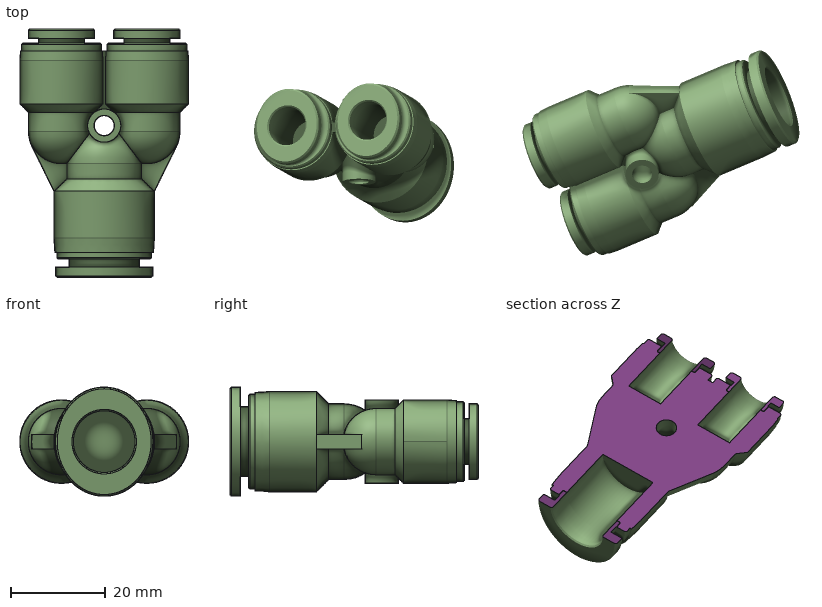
import cadquery as cq
import math


LARGE_PORT = dict(
    dome_centre_at=8.0,
    cone_at=11.2,
    taper_at=23.65,
    lip_at=26.7,
    lip_end_at=28.1,
    flange_at=29.8,
    mouth_at=32.0,
    neck_diameter=16.0,
    body_diameter=21.2,
    taper_end_diameter=20.8,
    lip_diameter=20.0,
    collet_diameter=14.8,
    bore_diameter=13.0,
    flange_width=20.5,
    flange_height=23.0,
)
SMALL_PORT = dict(
    dome_centre_at=-1.2,
    cone_at=2.8,
    taper_at=13.75,
    lip_at=15.75,
    lip_end_at=17.4,
    flange_at=18.4,
    mouth_at=20.4,
    neck_diameter=14.0,
    body_diameter=17.6,
    taper_end_diameter=17.3,
    lip_diameter=16.9,
    collet_diameter=9.7,
    bore_diameter=8.2,
    flange_width=14.0,
    flange_height=16.0,
)
small_port_spacing = 18.0
small_port_sides = (-1, 1)

lip_chamfer = 0.3
flange_chamfer = 0.35
mouth_chamfer = 0.3

boss_diameter = 7.0
boss_hole_diameter = 4.2
boss_height = SMALL_PORT["body_diameter"]

rib_thickness = 3.1
web_thickness = 2.0

small_port_x = small_port_spacing / 2


def body_start(port):
    """Distance at which the 45 degree cone reaches the full body diameter."""
    return port["cone_at"] + (port["body_diameter"] - port["neck_diameter"]) / 2


def place_large(shape):
    """Turn a port part that points to +Y so that it points to -Y."""
    return shape.rotate((0, 0, 0), (0, 0, 1), 180)


def place_small(shape, side):
    """Move a port part onto the axis of the small port on the given side."""
    return shape.translate((side * small_port_x, 0, 0))


def cylinder_along_y(diameter, start, end):
    return cq.Workplane("XZ", origin=(0, start, 0)).circle(diameter / 2).extrude(start - end)



def port_shell(port):
    """Outside of a port: dome, neck, cone, body, slight taper and stepped lip, along +Y."""
    neck_radius = port["neck_diameter"] / 2
    body_radius = port["body_diameter"] / 2
    lip_radius = port["lip_diameter"] / 2
    dome_centre = port["dome_centre_at"]
    dome_mid = neck_radius * math.sqrt(0.5)
    profile = (
        cq.Workplane("XY")
        .moveTo(0, dome_centre - neck_radius)
        .threePointArc((dome_mid, dome_centre - dome_mid), (neck_radius, dome_centre))
        .lineTo(neck_radius, port["cone_at"])
        .lineTo(body_radius, body_start(port))
        .lineTo(body_radius, port["taper_at"])
        .lineTo(port["taper_end_diameter"] / 2, port["lip_at"])
        .lineTo(lip_radius, port["lip_at"])
        .lineTo(lip_radius, port["lip_end_at"] - lip_chamfer)
        .lineTo(lip_radius - lip_chamfer, port["lip_end_at"])
        .lineTo(0, port["lip_end_at"])
        .close()
    )
    return profile.revolve(360, (0, 0, 0), (0, 1, 0))


def port_cavity(port):
    """Blind tube bore, with the collet seat cut through the lip."""
    bore = cylinder_along_y(port["bore_diameter"], body_start(port), port["lip_end_at"])
    seat = cylinder_along_y(port["collet_diameter"], port["lip_at"], port["lip_end_at"])
    return bore.union(seat)


def side_rib(side):
    """Flat rib from the edge of the large body, tangent to the dome of a small port."""
    corner_x = LARGE_PORT["body_diameter"] / 2
    corner_y = -body_start(LARGE_PORT)
    dome_radius = SMALL_PORT["neck_diameter"] / 2
    dome_y = SMALL_PORT["dome_centre_at"]

    run_x = corner_x - small_port_x
    run_y = dome_y - corner_y
    angle_to_centre = math.atan2(run_x, run_y)
    tangent_angle = math.asin(dome_radius / math.hypot(run_x, run_y))
    edge_angle = tangent_angle - angle_to_centre
    tangent_x = small_port_x + dome_radius * math.cos(edge_angle)
    tangent_y = dome_y - dome_radius * math.sin(edge_angle)

    outline = [
        (0, corner_y),
        (side * corner_x, corner_y),
        (side * tangent_x, tangent_y),
        (side * small_port_x, dome_y),
        (0, dome_y),
    ]
    return (
        cq.Workplane("XY", origin=(0, 0, -rib_thickness / 2))
        .polyline(outline)
        .close()
        .extrude(rib_thickness)
    )


def centre_web():
    """Flat web that closes the gap between the two small ports."""
    return (
        cq.Workplane("XY")
        .box(small_port_spacing, SMALL_PORT["lip_at"], web_thickness, centered=(True, False, True))
    )


def boss_cylinder(diameter):
    return cq.Workplane("XY", origin=(0, 0, -boss_height / 2)).circle(diameter / 2).extrude(boss_height)


def make_housing():
    housing = place_large(port_shell(LARGE_PORT))
    for side in small_port_sides:
        housing = housing.union(place_small(port_shell(SMALL_PORT), side))
        housing = housing.union(side_rib(side))
    housing = housing.union(centre_web()).union(boss_cylinder(boss_diameter))

    housing = housing.cut(boss_cylinder(boss_hole_diameter))
    housing = housing.cut(place_large(port_cavity(LARGE_PORT)))
    for side in small_port_sides:
        housing = housing.cut(place_small(port_cavity(SMALL_PORT), side))
    return housing



def make_collet(port):
    """Tube with an oval flange; its inner end fills the seat in the lip."""
    sleeve = cylinder_along_y(port["collet_diameter"], port["lip_at"], port["mouth_at"] - flange_chamfer)
    flange = (
        cq.Workplane("XZ", origin=(0, port["flange_at"], 0))
        .ellipse(port["flange_width"] / 2, port["flange_height"] / 2)
        .extrude(port["flange_at"] - port["mouth_at"])
        .faces(">Y")
        .chamfer(flange_chamfer)
    )
    bore = cylinder_along_y(port["bore_diameter"], port["lip_at"], port["mouth_at"])
    bore = bore.union(
        cq.Workplane("XZ", origin=(0, port["mouth_at"], 0))
        .circle(port["bore_diameter"] / 2 + mouth_chamfer)
        .workplane(offset=mouth_chamfer)
        .circle(port["bore_diameter"] / 2)
        .loft()
    )
    return sleeve.union(flange).cut(bore)


housing = make_housing()
large_collet = place_large(make_collet(LARGE_PORT))
small_collets = [place_small(make_collet(SMALL_PORT), side) for side in small_port_sides]

result = cq.Compound.makeCompound(
    [housing.val(), large_collet.val(), *[collet.val() for collet in small_collets]]
)